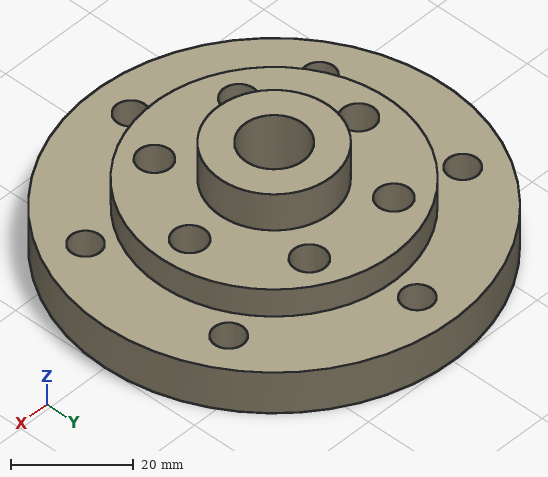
import cadquery as cq

flange_diameter = 80
flange_height = 9.0
step_diameter = 53.2
step_height = 6.0
hub_diameter = 25.0
hub_height = 8
bore_diameter = 13.0
total_height = flange_height + step_height + hub_height

holes_per_ring = 6
outer_ring_radius = 32
outer_hole_diameter = 6.2
outer_start_angle = 90
inner_ring_radius = 20
inner_hole_diameter = 6.7
inner_start_angle = 0


def disc(diameter, height, base_z=0):
    """Solid cylinder about the Z axis, standing on base_z."""
    return cq.Workplane("XY").workplane(offset=base_z).circle(diameter / 2).extrude(height)


def hole_ring(ring_radius, hole_diameter, start_angle):
    """Evenly spaced cylinders that cut through the full height."""
    return (
        cq.Workplane("XY")
        .polarArray(ring_radius, start_angle, 360, holes_per_ring)
        .circle(hole_diameter / 2)
        .extrude(total_height)
    )


body = (
    disc(flange_diameter, flange_height)
    .union(disc(step_diameter, step_height, flange_height))
    .union(disc(hub_diameter, hub_height, flange_height + step_height))
)

result = (
    body.cut(disc(bore_diameter, total_height))
    .cut(hole_ring(outer_ring_radius, outer_hole_diameter, outer_start_angle))
    .cut(hole_ring(inner_ring_radius, inner_hole_diameter, inner_start_angle))
)